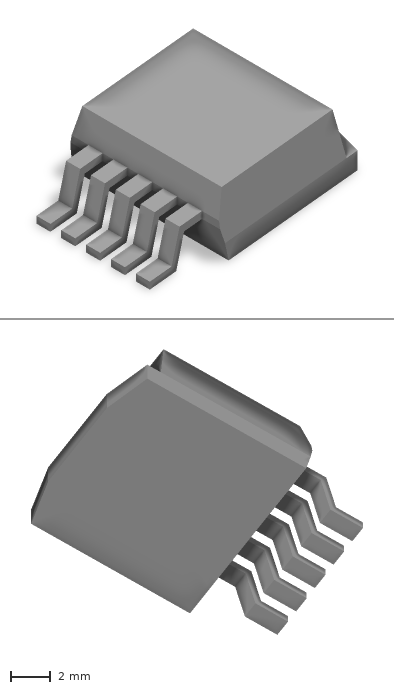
import cadquery as cq

width = 10.5
length = 14.72
height = 4.5

tab_length = 1.53
tab_thickness = 1.3
tab_corner_x = 2.6
tab_corner_y = 0.7
top_inset = 0.5
bottom_front_inset = 0.47

lead_count = 5
lead_pitch = 1.7
lead_width = 0.95
lead_thickness = 0.52
lead_top = 2.75
lead_reach = 3.9
shoulder_length = 1.68
foot_length = 1.63
bend_offset = 0.34

back = length / 2
front = -length / 2
housing_back = back - tab_length
housing_front = front + lead_reach
lead_underside = lead_top - lead_thickness


def make_housing():
    """Flat-topped housing with tapered sides and a blunt front nose."""
    side_outline = [
        (housing_back, 0),
        (housing_back, tab_thickness),
        (housing_back - top_inset, height),
        (housing_front + top_inset, height),
        (housing_front, lead_top),
        (housing_front, lead_underside),
        (housing_front + bottom_front_inset, 0),
    ]
    end_outline = [
        (-width / 2, 0),
        (-width / 2, tab_thickness),
        (-width / 2 + top_inset, height),
        (width / 2 - top_inset, height),
        (width / 2, tab_thickness),
        (width / 2, 0),
    ]
    side_shape = cq.Workplane("YZ").polyline(side_outline).close().extrude(width / 2, both=True)
    end_shape = cq.Workplane("XZ").polyline(end_outline).close().extrude(length / 2, both=True)
    return side_shape.intersect(end_shape)


def make_tab():
    """Plate against the back of the housing, with its outer corners cut off."""
    outline = [
        (-width / 2, housing_back),
        (width / 2, housing_back),
        (width / 2, back - tab_corner_y),
        (width / 2 - tab_corner_x, back),
        (-width / 2 + tab_corner_x, back),
        (-width / 2, back - tab_corner_y),
    ]
    return cq.Workplane("XY").polyline(outline).close().extrude(tab_thickness)


def make_lead(center_x):
    """Gull-wing lead that starts on the flat nose of the housing."""
    shoulder_end = housing_front - shoulder_length
    foot_start = front + foot_length
    outline = [
        (housing_front, lead_top),
        (shoulder_end, lead_top),
        (foot_start, lead_thickness),
        (front, lead_thickness),
        (front, 0),
        (foot_start + bend_offset, 0),
        (shoulder_end + bend_offset, lead_underside),
        (housing_front, lead_underside),
    ]
    lead = cq.Workplane("YZ").polyline(outline).close().extrude(lead_width / 2, both=True)
    return lead.translate((center_x, 0, 0))


housing = make_housing()
tab = make_tab()
leads = []
for index in range(lead_count):
    lead_x = (index - (lead_count - 1) / 2) * lead_pitch
    leads.append(make_lead(lead_x).val())

result = cq.Compound.makeCompound([housing.val(), tab.val(), *leads])